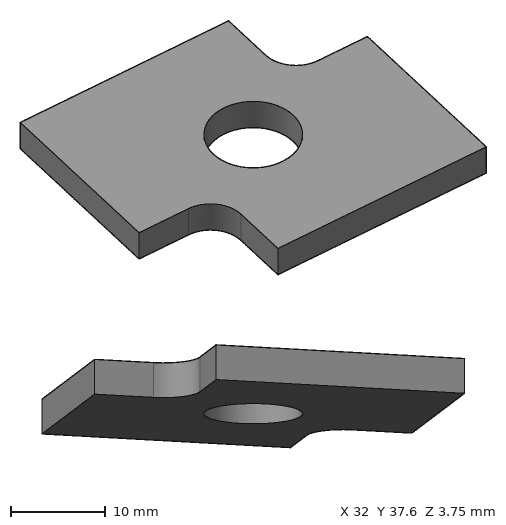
import cadquery as cq

length = 37.6
width = 32.0
thickness = 3.75

hole_diameter = 10.4

notch_width = 10.6
notch_depth = 10.4
notch_radius = 4.0


def corner_notch(side):
    """Cutter with a rounded inner corner; side is +1 for right-front, -1 for left-back."""
    return (
        cq.Workplane("XY")
        .center(side * width / 2, -side * length / 2)
        .rect(2 * notch_width, 2 * notch_depth)
        .extrude(thickness / 2, both=True)
        .edges("|Z")
        .fillet(notch_radius)
    )


plate = cq.Workplane("XY").box(width, length, thickness)
for side in (1, -1):
    plate = plate.cut(corner_notch(side))

result = plate.faces(">Z").workplane(origin=(0, 0, 0)).hole(hole_diameter)